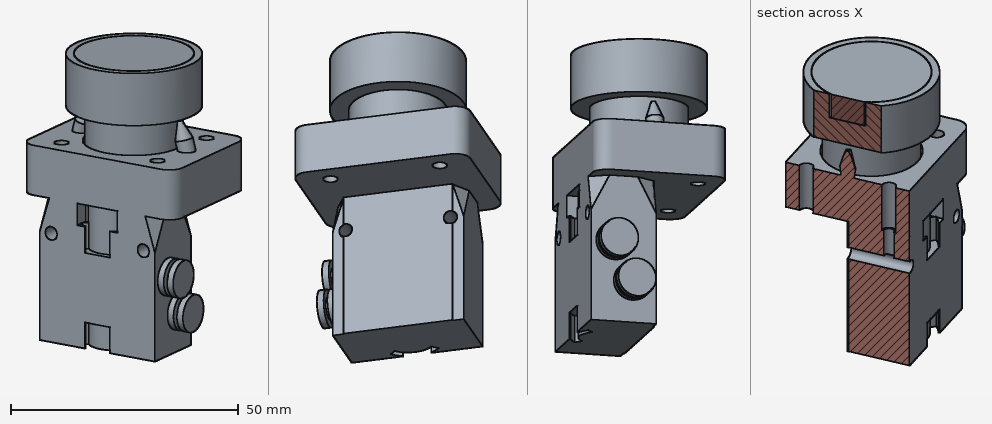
import cadquery as cq
import math


TOTAL_HEIGHT = 64.5

HEAD_DIA = 30.0
HEAD_HEIGHT = 12.0
NECK_DIA = 21.7
NECK_HEIGHT = 8.0
SOCKET_DIA = 22.5
PLATE_LENGTH = 40.0
PLATE_WIDTH = HEAD_DIA
PLATE_THICKNESS = 11.5
SOCKET_DEPTH = PLATE_THICKNESS / 2
PLATE_CORNER_RADIUS = 3.5
PLATE_HOLE_DIA = 3.2
SCREW_X = 12.5
SCREW_Y = 10.0

PIN_DIA = 4.0
PIN_TIP_DIA = 1.0
PIN_SHANK_LENGTH = 2.5
PIN_POINT_LENGTH = 4.2
PIN_TILT = 15.0
PIN_X = 13.7
PIN_ROOT = 1.3

BUTTON_DIA = 26.3
POCKET_DIA = 26.5
POCKET_DEPTH = HEAD_HEIGHT / 2

BLOCK_LENGTH = HEAD_DIA
BLOCK_DEPTH = 14.85
BLOCK_HEIGHT = TOTAL_HEIGHT - HEAD_HEIGHT - NECK_HEIGHT - PLATE_THICKNESS
CORNER_CUT_X = 2.5
CORNER_CUT_Y = 4.2
CORNER_CUT_HEIGHT = 8.0
REAR_PAD_THICKNESS = 0.25
CROSS_HOLE_DIA = 3.0
CROSS_HOLE_X = 12.0
CROSS_HOLE_DROP = 8.0
SCREW_HOLE_DIA = 2.45
SCREW_HOLE_DEPTH = 7.0

CORE_DIA = 12.0
CHANNEL_DIA = 15.6
SLOT_WIDTH = 6.5
SLOT_DEPTH = 1.95
SLOT_HEIGHT = 6.0
MOUTH_WIDTH = 10.45
MOUTH_HEIGHT = 5.0
MOUTH_DEPTH = 3.5
CHANNEL_HALF_ANGLE = 45.0

TERMINAL_DIA = 8.5
TERMINAL_GROOVE_DIA = 5.0
TERMINAL_FLANGE = 1.55
TERMINAL_GROOVE = 0.9
TERMINAL_OFFSET_Y = 2.0
TERMINAL_DROP = 14.85
TERMINAL_PITCH = 8.9

SOCKET_FLOOR_Z = PLATE_THICKNESS - SOCKET_DEPTH
HEAD_BASE_Z = PLATE_THICKNESS + NECK_HEIGHT
HEAD_TOP_Z = HEAD_BASE_Z + HEAD_HEIGHT
POCKET_FLOOR_Z = HEAD_TOP_Z - POCKET_DEPTH
BLOCK_FRONT_Y = -PLATE_WIDTH / 2
CORE_Y = BLOCK_FRONT_Y + BLOCK_DEPTH / 2


def cylinder(diameter, height, base_z):
    """Upright cylinder on the head axis."""
    return cq.Workplane("XY", origin=(0, 0, base_z)).circle(diameter / 2).extrude(height)


def make_pin(side):
    """Pointed pin that leans inward from the plate; side is -1 or +1 along X."""
    radius = PIN_DIA / 2
    shoulder_z = PIN_SHANK_LENGTH
    tip_z = shoulder_z + PIN_POINT_LENGTH
    profile = [
        (0, -PIN_ROOT), (radius, -PIN_ROOT), (radius, shoulder_z), (PIN_TIP_DIA / 2, tip_z), (0, tip_z),
    ]
    pin = cq.Workplane("XZ").polyline(profile).close().revolve(360, (0, 0), (0, 1))
    pin = pin.rotate((0, 0, 0), (0, 1, 0), -side * PIN_TILT)
    return pin.translate((side * PIN_X, 0, PLATE_THICKNESS))


def make_plate():
    """Mounting plate with rounded corners, screw holes, tilted pins and the neck socket."""
    plate = cq.Workplane("XY").rect(PLATE_LENGTH, PLATE_WIDTH).extrude(PLATE_THICKNESS)
    plate = plate.edges("|Z").fillet(PLATE_CORNER_RADIUS)
    screw_holes = (
        cq.Workplane("XY")
        .rect(2 * SCREW_X, 2 * SCREW_Y, forConstruction=True)
        .vertices()
        .circle(PLATE_HOLE_DIA / 2)
        .extrude(PLATE_THICKNESS)
    )
    plate = plate.cut(screw_holes)
    for side in (-1, 1):
        plate = plate.union(make_pin(side))
    return plate.cut(cylinder(SOCKET_DIA, SOCKET_DEPTH, SOCKET_FLOOR_Z))


def make_head():
    """Round head with a button pocket, on a neck that stands in the plate socket."""
    neck = cylinder(NECK_DIA, NECK_HEIGHT + SOCKET_DEPTH, SOCKET_FLOOR_Z)
    head = neck.union(cylinder(HEAD_DIA, HEAD_HEIGHT, HEAD_BASE_Z))
    return head.cut(cylinder(POCKET_DIA, POCKET_DEPTH, POCKET_FLOOR_Z))


def make_button():
    """Flat disc with a small gap all round in the head pocket, flush with the rim."""
    return cylinder(BUTTON_DIA, POCKET_DEPTH, POCKET_FLOOR_Z)


def make_corner_cut(x_side, y_side):
    """Tetrahedron that slants off one upper corner of the block."""
    corner_x = x_side * BLOCK_LENGTH / 2
    corner_y = CORE_Y + y_side * BLOCK_DEPTH / 2
    corner = cq.Vector(corner_x, corner_y, 0)
    along_x = cq.Vector(corner_x - x_side * CORNER_CUT_X, corner_y, 0)
    along_y = cq.Vector(corner_x, corner_y - y_side * CORNER_CUT_Y, 0)
    below = cq.Vector(corner_x, corner_y, -CORNER_CUT_HEIGHT)
    triangles = [
        (corner, along_x, along_y),
        (corner, along_x, below),
        (corner, along_y, below),
        (along_x, along_y, below),
    ]
    faces = [cq.Face.makeFromWires(cq.Wire.makePolygon(points, close=True)) for points in triangles]
    return cq.Workplane(obj=cq.Solid.makeSolid(cq.Shell.makeShell(faces)))


def make_front_box(width, depth, top_z, height):
    """Box that reaches from the front face into the block."""
    return (
        cq.Workplane("XY", origin=(0, BLOCK_FRONT_Y + depth / 2, top_z))
        .rect(width, depth)
        .extrude(-height)
    )


def make_core(top_z, height):
    """Round core that stays standing behind the front openings."""
    return cq.Workplane("XY", origin=(0, CORE_Y, top_z)).circle(CORE_DIA / 2).extrude(-height)


def make_slot(top_z):
    """Quarter-ring channel around the core, opened to the front by a narrow slot."""
    outer_radius = CHANNEL_DIA / 2
    side_x = outer_radius * math.sin(math.radians(CHANNEL_HALF_ANGLE))
    side_y = outer_radius * math.cos(math.radians(CHANNEL_HALF_ANGLE))
    channel = (
        cq.Workplane("XY", origin=(0, CORE_Y, top_z))
        .lineTo(-side_x, -side_y)
        .threePointArc((0, -outer_radius), (side_x, -side_y))
        .close()
        .extrude(-SLOT_HEIGHT)
    )
    opening = make_front_box(SLOT_WIDTH, SLOT_DEPTH, top_z, SLOT_HEIGHT)
    return channel.union(opening).cut(make_core(top_z, SLOT_HEIGHT))


def make_mouth():
    """Wide opening at the top of the block, in front of the core."""
    mouth = make_front_box(MOUTH_WIDTH, MOUTH_DEPTH, 0, MOUTH_HEIGHT)
    return mouth.cut(make_core(0, MOUTH_HEIGHT))


def make_terminal(y, z):
    """Round terminal with a groove between two flanges, pointing along +X."""
    length = 2 * TERMINAL_FLANGE + TERMINAL_GROOVE
    base = cq.Workplane("YZ", origin=(BLOCK_LENGTH / 2, y, z))
    groove = (
        base.workplane(offset=TERMINAL_FLANGE)
        .circle(TERMINAL_DIA / 2)
        .circle(TERMINAL_GROOVE_DIA / 2)
        .extrude(TERMINAL_GROOVE)
    )
    return base.circle(TERMINAL_DIA / 2).extrude(length).cut(groove)


def make_rear_pad():
    """Thin raised pad on the back of the block, between its slanted corners."""
    pad_width = BLOCK_LENGTH - 2 * CORNER_CUT_X
    back_y = CORE_Y + BLOCK_DEPTH / 2
    return (
        cq.Workplane("XY", origin=(0, back_y + REAR_PAD_THICKNESS / 2, 0))
        .rect(pad_width, REAR_PAD_THICKNESS)
        .extrude(-BLOCK_HEIGHT)
    )


def make_contact_block():
    """Block with slanted corners, holes, front slots and side terminals."""
    block = (
        cq.Workplane("XY", origin=(0, CORE_Y, 0))
        .rect(BLOCK_LENGTH, BLOCK_DEPTH)
        .extrude(-BLOCK_HEIGHT)
    )
    block = block.union(make_rear_pad())
    for x_side in (-1, 1):
        for y_side in (-1, 1):
            block = block.cut(make_corner_cut(x_side, y_side))
        cross_hole = (
            cq.Workplane("XZ", origin=(x_side * CROSS_HOLE_X, BLOCK_FRONT_Y, -CROSS_HOLE_DROP))
            .circle(CROSS_HOLE_DIA / 2)
            .extrude(-BLOCK_DEPTH - REAR_PAD_THICKNESS)
        )
        screw_hole = (
            cq.Workplane("XY", origin=(x_side * SCREW_X, -SCREW_Y, 0))
            .circle(SCREW_HOLE_DIA / 2)
            .extrude(-SCREW_HOLE_DEPTH)
        )
        block = block.cut(cross_hole).cut(screw_hole)
    block = block.cut(make_mouth())
    for slot_top_z in (-MOUTH_HEIGHT, SLOT_HEIGHT - BLOCK_HEIGHT):
        block = block.cut(make_slot(slot_top_z))
    for index, y_side in enumerate((-1, 1)):
        y = CORE_Y + y_side * TERMINAL_OFFSET_Y
        z = -TERMINAL_DROP - index * TERMINAL_PITCH
        block = block.union(make_terminal(y, z))
    return block


def make_base():
    """Mounting plate and contact block in one piece, with a seam line kept on their flush fronts."""
    return make_plate().union(make_contact_block(), clean=False)


base = make_base()
head = make_head()
button = make_button()

result = cq.Compound.makeCompound([base.val(), head.val(), button.val()])